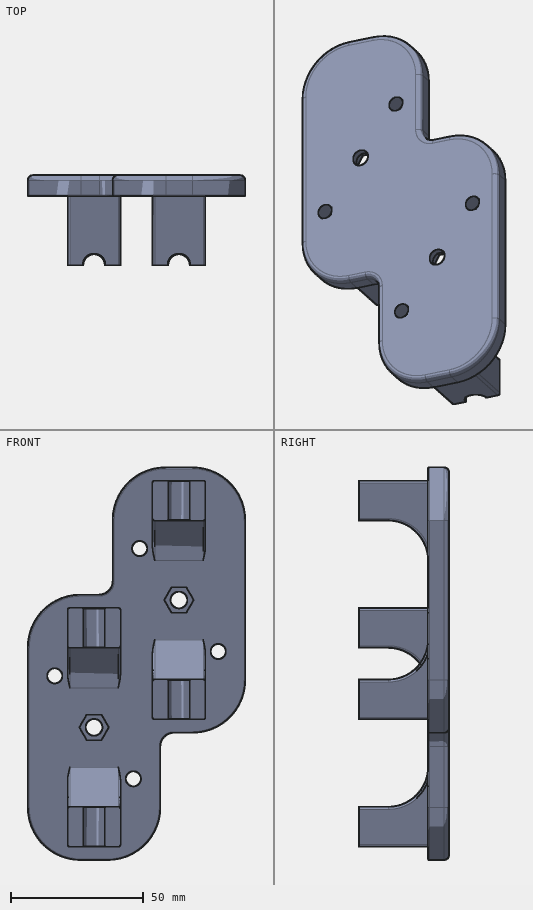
import cadquery as cq
import math

overall_width = 82.0
overall_height = 148.0
lobe_width = 50.0
lobe_height = 100.0
lobe_corner_radius = 20.0
inner_corner_radius = 5.0
lobe_shift_x = (overall_width - lobe_width) / 2
lobe_shift_z = (overall_height - lobe_height) / 2
lobe_centers = [(-lobe_shift_x, -lobe_shift_z), (lobe_shift_x, lobe_shift_z)]

plate_thickness = 8.0
back_edge_radius = 2.0
front_edge_radius = 0.5

overall_depth = 34.0
arm_width = 20.0
arm_height = 15.1
arm_root_radius = 15.0
arm_edge_margin = 5.0
arm_edge_radius = 0.9

groove_radius = 4.0
groove_axis_inset = 0.1
groove_rim_chamfer = 0.3

bolt_hole_diameter = 6.2
nut_across_flats = 9.6
nut_pocket_depth = 5.0
screw_hole_diameter = 5.6
screw_offset_x = 14.8
screw_offset_z = 19.4


def front_sketch_plane(depth):
    """Plane facing -Y at the given distance in front of the plate's back face."""
    return cq.Workplane("XZ", origin=(0, -depth, 0))


def make_plate():
    """Stepped plate with rounded corners and softened front and back rims."""
    plate = None
    for center in lobe_centers:
        lobe = (
            front_sketch_plane(0)
            .center(*center)
            .rect(lobe_width, lobe_height)
            .extrude(plate_thickness)
            .edges("|Y")
            .fillet(lobe_corner_radius)
        )
        plate = lobe if plate is None else plate.union(lobe)

    inner_x = lobe_width / 2 - lobe_shift_x
    inner_z = lobe_height / 2 - lobe_shift_z
    for side in (-1, 1):
        corner = (side * inner_x, -plate_thickness / 2, -side * inner_z)
        plate = plate.edges(cq.selectors.NearestToPointSelector(corner)).fillet(inner_corner_radius)

    plate = plate.faces(">Y").edges().fillet(back_edge_radius)
    return plate.faces("<Y").edges().fillet(front_edge_radius)


def make_groove_cutter(length):
    """Vertical round cutter standing on the origin, flared at both ends to chamfer the groove's rims."""
    flared_radius = groove_radius + groove_rim_chamfer
    return (
        cq.Workplane("XZ")
        .lineTo(flared_radius, 0)
        .lineTo(groove_radius, groove_rim_chamfer)
        .lineTo(groove_radius, length - groove_rim_chamfer)
        .lineTo(flared_radius, length)
        .lineTo(0, length)
        .close()
        .revolve(360, (0, 0, 0), (0, 1, 0))
    )


def make_upper_arm():
    """Upper arm of a lobe centred on the origin; its underside sweeps down into the plate."""
    arm_top = lobe_height / 2 - arm_edge_margin
    arm_bottom = arm_top - arm_height
    root_y = -plate_thickness
    sweep_end_y = root_y - arm_root_radius
    sweep_center_z = arm_bottom - arm_root_radius
    sweep_mid = arm_root_radius * math.sqrt(0.5)

    arm = (
        cq.Workplane("YZ")
        .moveTo(root_y, arm_top)
        .lineTo(-overall_depth, arm_top)
        .lineTo(-overall_depth, arm_bottom)
        .lineTo(sweep_end_y, arm_bottom)
        .threePointArc(
            (sweep_end_y + sweep_mid, sweep_center_z + sweep_mid),
            (root_y, sweep_center_z),
        )
        .close()
        .extrude(arm_width / 2, both=True)
    )

    long_edges = arm.faces("<X or >X").edges("not(<Y or >Y)")
    arm = long_edges.fillet(arm_edge_radius)

    groove_axis_y = -overall_depth + groove_axis_inset
    groove = make_groove_cutter(arm_height).translate((0, groove_axis_y, arm_bottom))
    return arm.cut(groove)


def make_arms():
    """Mirrored pair of arms on each lobe."""
    upper = make_upper_arm()
    pair = upper.union(upper.mirror("XY"))
    lower_left, upper_right = [pair.translate((x, 0, z)) for x, z in lobe_centers]
    return lower_left.union(upper_right)


def make_holes():
    """Cutters for the bolt, nut pocket and two screws of each lobe."""
    screw_points = []
    for x, z in lobe_centers:
        screw_points.append((x - screw_offset_x, z + screw_offset_z))
        screw_points.append((x + screw_offset_x, z - screw_offset_z))

    nut_across_corners = nut_across_flats / math.cos(math.pi / 6)
    plate_back = front_sketch_plane(0)
    bolts = plate_back.pushPoints(lobe_centers).circle(bolt_hole_diameter / 2).extrude(plate_thickness)
    screws = plate_back.pushPoints(screw_points).circle(screw_hole_diameter / 2).extrude(plate_thickness)
    nuts = (
        front_sketch_plane(plate_thickness - nut_pocket_depth)
        .pushPoints(lobe_centers)
        .polygon(6, nut_across_corners)
        .extrude(nut_pocket_depth)
    )
    return bolts.union(screws).union(nuts)


result = make_plate().union(make_arms()).cut(make_holes())